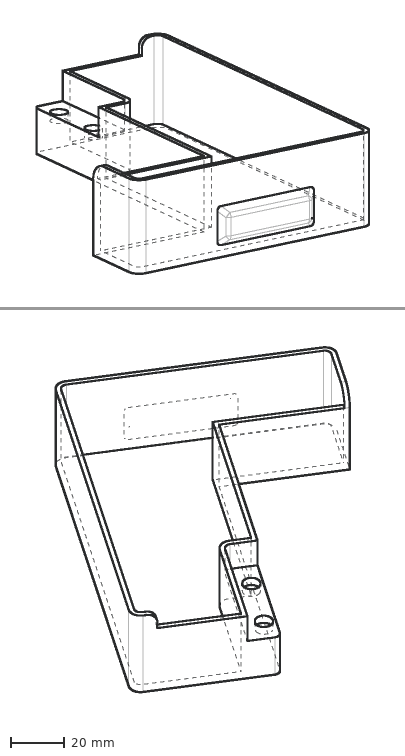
import cadquery as cq

total_length = 145.5
total_width = 107.5
height = 37.0

pad_thickness = 3.0
body_length = total_length - pad_thickness
main_width = 57.5
leg_length = 28.7
wall = 2.0
floor_thickness = 2.0
outer_radius = 4.5
inner_radius = outer_radius - wall
leg_left = body_length - leg_length
main_front = total_width - main_width

rim_height = 30.0
rim_drop = height - rim_height
rim_end_gap = 10.0
rim_end_radius = 4.1

shelf_length = 43.4
shelf_width = 13.0
shelf_height = 18.0
shelf_back = main_front + shelf_width
shelf_corner_radius = 2.5

hole_diameter = 6.8
hole_depth = 3.5
hole_end_gap = 10.2
hole_front_gap = 4.5

pad_length = 43.6
pad_height = 15.4
pad_bottom = 4.8
pad_rear_gap = 27.0
pad_radius = 2.5


def box(x_range, y_range, z_range):
    """Axis-aligned block between the given limits."""
    x0, x1 = x_range
    y0, y1 = y_range
    z0, z1 = z_range
    block = cq.Workplane("XY", origin=(x0, y0, z0))
    return block.box(x1 - x0, y1 - y0, z1 - z0, centered=False)


def fillet_upright_edge(solid, x, y, radius):
    """Round the upright edge nearest to the plan position (x, y)."""
    edge = cq.selectors.NearestToPointSelector((x, y, height / 2))
    return solid.edges("|Z").edges(edge).fillet(radius)


def make_body():
    main = box((0, body_length), (main_front, total_width), (0, height))
    leg = box((leg_left, body_length), (0, total_width), (0, height))
    body = main.union(leg).clean()
    for x, y in ((0, total_width), (body_length, total_width), (body_length, 0)):
        body = fillet_upright_edge(body, x, y, outer_radius)
    return fillet_upright_edge(body, 0, main_front, shelf_corner_radius)


def make_cavity():
    right = body_length - wall
    rear = total_width - wall
    main = box((wall, right), (main_front + wall, rear), (floor_thickness, height))
    leg = box((leg_left + wall, right), (wall, rear), (floor_thickness, height))
    cavity = main.union(leg).clean()
    for x, y in ((wall, rear), (right, rear), (right, wall)):
        cavity = fillet_upright_edge(cavity, x, y, inner_radius)
    shelf_block = box((0, shelf_length + wall), (main_front, shelf_back + wall), (0, height))
    shelf_block = fillet_upright_edge(
        shelf_block, shelf_length + wall, shelf_back + wall, shelf_corner_radius + wall
    )
    return cavity.cut(shelf_block)


def make_shelf_notch():
    notch = box((0, shelf_length), (main_front, shelf_back), (shelf_height, height))
    return fillet_upright_edge(notch, shelf_length, shelf_back, shelf_corner_radius)


def make_rim_cut():
    """Space above the lowered rim, leaving rounded ends on the full-height walls."""
    rim_rear = total_width - rim_end_gap
    cut = box((0, leg_left + wall), (wall, rim_rear), (rim_height, height))

    left_end = (
        cq.Workplane("YZ")
        .moveTo(rim_rear, height - rim_end_radius)
        .radiusArc((rim_rear + rim_end_radius, height), rim_end_radius)
        .lineTo(rim_rear, height)
        .close()
        .extrude(wall)
    )
    leg_end = (
        cq.Workplane("XZ")
        .moveTo(leg_left, rim_height)
        .radiusArc((leg_left + rim_drop, height), rim_drop)
        .lineTo(leg_left, height)
        .close()
        .extrude(-wall)
    )
    return cut.union(left_end).union(leg_end)


def make_holes():
    points = [(x, main_front + hole_front_gap) for x in (hole_end_gap, shelf_length - hole_end_gap)]
    return (
        cq.Workplane("XY", origin=(0, 0, shelf_height - hole_depth))
        .pushPoints(points)
        .circle(hole_diameter / 2)
        .extrude(hole_depth)
    )


def make_pad():
    """Pad whose four sides slope inward at 45 degrees, with rounded edges away from the body."""
    center = (body_length, total_width - pad_rear_gap - pad_length / 2, pad_bottom + pad_height / 2)
    pad = (
        cq.Workplane("YZ", origin=center)
        .rect(pad_length, pad_height)
        .workplane(offset=pad_thickness)
        .rect(pad_length - 2 * pad_thickness, pad_height - 2 * pad_thickness)
        .loft(ruled=True)
    )
    return pad.edges("not <X").fillet(pad_radius)


result = make_body().cut(make_cavity()).cut(make_shelf_notch()).cut(make_rim_cut()).cut(make_holes())
result = result.union(make_pad())